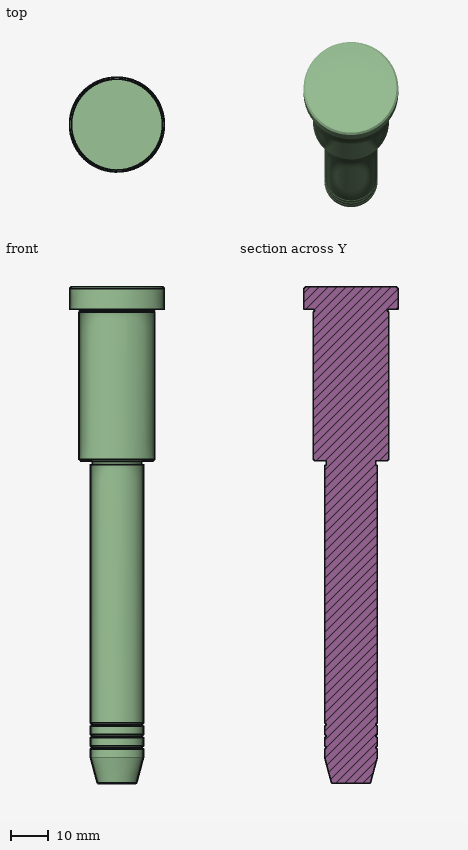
import cadquery as cq
import math

total_length = 131.0
head_diameter = 25.0
head_height = 6.0
head_chamfer = 0.5
body_diameter = 20.0
body_length = 40.0
body_chamfer = 0.5
pin_diameter = 14.0

undercut_depth = 0.4

neck_depth = 0.46
neck_width = 1.0

groove_count = 3
groove_depth = 0.47
groove_pitch = 3.0
land_below_grooves = 2.1

taper_height = 7.0
taper_angle = math.radians(15)
tip_chamfer = 0.3

head_radius = head_diameter / 2
body_radius = body_diameter / 2
pin_radius = pin_diameter / 2
neck_radius = pin_radius - neck_depth
tip_radius = pin_radius - taper_height * math.tan(taper_angle)
head_bottom = total_length - head_height
body_bottom = head_bottom - body_length
neck_bottom = body_bottom - neck_width
undercut_height = head_bottom - undercut_depth
lowest_groove_height = taper_height + land_below_grooves + groove_depth


def cylinder(radius, bottom, top):
    """Solid cylinder on the Z axis between two levels."""
    return cq.Workplane("XY").workplane(offset=bottom).circle(radius).extrude(top - bottom)


def v_ring(radius, depth, height):
    """Ring that cuts a groove with 45 degree flanks, its root at the given height."""
    profile = [
        (radius, height - depth),
        (radius - depth, height),
        (radius, height + depth),
        (radius + depth, height),
    ]
    return cq.Workplane("XZ").polyline(profile).close().revolve(360, (0, 0, 0), (0, 1, 0))


head = cylinder(head_radius, head_bottom, total_length).faces(">Z").edges().chamfer(head_chamfer)

body = cylinder(body_radius, body_bottom, head_bottom).faces("<Z").edges().chamfer(body_chamfer)
body = body.cut(v_ring(body_radius, undercut_depth, undercut_height))

neck = cylinder(neck_radius, neck_bottom, body_bottom)
pin = cylinder(pin_radius, taper_height, neck_bottom)
for index in range(groove_count):
    groove_height = lowest_groove_height + index * groove_pitch
    pin = pin.cut(v_ring(pin_radius, groove_depth, groove_height))

tip = (
    cq.Workplane("XY")
    .circle(tip_radius)
    .workplane(offset=taper_height)
    .circle(pin_radius)
    .loft(ruled=True)
    .faces("<Z")
    .edges()
    .chamfer(tip_chamfer)
)

result = head.union(body).union(neck).union(pin).union(tip)